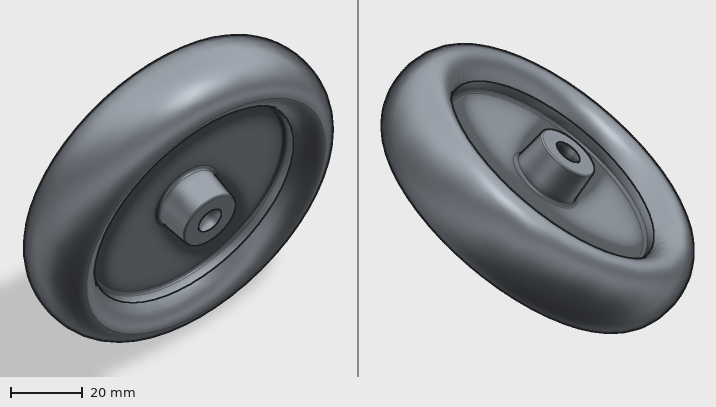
import cadquery as cq
import math

wheel_radius = 50.0
tire_half_width = 12.5
hub_half_length = 14.5

tire_core_radius = 42.0
tire_section_height = wheel_radius - tire_core_radius
rim_seat_radius = 35.3

web_half_thickness = 3.5
rim_wall_radius = 34.7
rim_fillet = 1.0

seat_depth_ratio = (tire_core_radius - rim_seat_radius) / tire_section_height
rim_half_width = tire_half_width * math.sqrt(1 - seat_depth_ratio**2)

bore_radius = 4.0
hub_end_radius = 9.2
hub_base_radius = 10.1
hub_base_fillet = 1.0
hub_end_fillet = 0.4

selection_margin = 0.01


def revolve_about_x(profile):
    """Turn an (x, radius) profile into a ring about the X axis."""
    return profile.revolve(360, (0, 0, 0), (1, 0, 0))


def rim_barrel():
    """Solid cylinder that fills the inside of the tire."""
    return (
        cq.Workplane("YZ")
        .circle(rim_seat_radius)
        .extrude(rim_half_width, both=True)
    )


def make_tire():
    section = (
        cq.Workplane("XY")
        .center(0, tire_core_radius)
        .ellipse(tire_half_width, tire_section_height)
    )
    ring = section.revolve(360, (0, -tire_core_radius, 0), (1, -tire_core_radius, 0))
    return ring.cut(rim_barrel())


def make_wheel():
    """Web, rim and hub; the half profile is mirrored about the middle plane."""
    half_profile = (
        cq.Workplane("XY")
        .moveTo(0, bore_radius)
        .lineTo(hub_half_length, bore_radius)
        .lineTo(hub_half_length, hub_end_radius)
        .lineTo(web_half_thickness, hub_base_radius)
        .lineTo(web_half_thickness, rim_wall_radius)
        .lineTo(rim_half_width, rim_seat_radius)
        .lineTo(0, rim_seat_radius)
        .close()
    )
    half = revolve_about_x(half_profile)
    half = fillet_circle(half, web_half_thickness, hub_base_radius, hub_base_fillet)
    half = fillet_circle(half, web_half_thickness, rim_wall_radius, rim_fillet)
    half = fillet_circle(half, hub_half_length, hub_end_radius, hub_end_fillet)
    return half.union(half.mirror("YZ"))


def fillet_circle(body, x, radius, fillet_radius):
    """Round the circular edge of the given radius that lies at x."""
    edges = body.edges(
        cq.selectors.BoxSelector(
            (x - selection_margin, -radius - selection_margin, -radius - selection_margin),
            (x + selection_margin, radius + selection_margin, radius + selection_margin),
            boundingbox=True,
        )
    )
    outermost = edges.sort(lambda edge: -edge.Length())[0]
    return outermost.fillet(fillet_radius)


tire = make_tire()
wheel = make_wheel()

result = cq.Compound.makeCompound([tire.val(), wheel.val()])